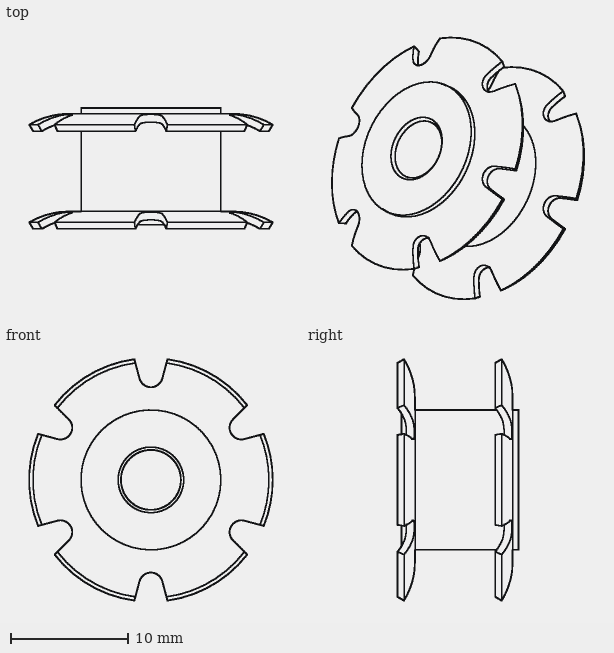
import cadquery as cq
import math

hub_radius = 5.97
hub_length = 10.0
bore_radius = 2.55
bore_chamfer = 0.25

flange_radius = 10.41
flat_radius = 7.0
flange_thickness = 0.66
dish_inner_radius = 6.0
dish_outer_radius = dish_inner_radius + flange_thickness
dish_angle = math.asin((flange_radius - flat_radius) / dish_outer_radius)
hub_overhang = 0.5

slot_count = 6
slot_bottom_distance = 7.92
slot_round_radius = 1.0
slot_wall_angle = math.radians(15.0)
slot_rim_margin = 1.0
slot_reach = flange_radius + slot_rim_margin

hub_front_y = -hub_length / 2
hub_back_y = hub_length / 2
rear_flange_back_y = hub_back_y - hub_overhang
front_flange_back_y = hub_front_y + hub_overhang + flange_thickness


def y_cylinder(radius, y_front, y_back):
    """Solid cylinder on the Y axis between two Y positions."""
    workplane = cq.Workplane("XZ", origin=(0, y_back, 0))
    return workplane.circle(radius).extrude(y_back - y_front)


def dished_disc(back_y):
    """Revolved disc: flat centre, then a constant-thickness arc bending toward -Y."""
    arc_centre_y = back_y - dish_outer_radius

    def arc_point(radius, angle):
        return (flat_radius + radius * math.sin(angle), arc_centre_y + radius * math.cos(angle))

    profile = (
        cq.Workplane("XY")
        .moveTo(0, back_y)
        .lineTo(flat_radius, back_y)
        .threePointArc(
            arc_point(dish_outer_radius, dish_angle / 2),
            arc_point(dish_outer_radius, dish_angle),
        )
        .lineTo(*arc_point(dish_inner_radius, dish_angle))
        .threePointArc(
            arc_point(dish_inner_radius, dish_angle / 2),
            arc_point(dish_inner_radius, 0),
        )
        .lineTo(0, back_y - flange_thickness)
        .close()
    )
    return profile.revolve(360, (0, 0, 0), (0, 1, 0))


def slot_cutter(back_y):
    """Cutter for one slot at +Z, deep enough to pass through one dished flange."""
    round_centre_z = slot_bottom_distance + slot_round_radius
    tangent_x = slot_round_radius * math.cos(slot_wall_angle)
    tangent_z = round_centre_z - slot_round_radius * math.sin(slot_wall_angle)
    mouth_x = tangent_x + (slot_reach - tangent_z) * math.tan(slot_wall_angle)
    cut_depth = dish_outer_radius
    return (
        cq.Workplane("XZ", origin=(0, back_y, 0))
        .moveTo(-mouth_x, slot_reach)
        .lineTo(-tangent_x, tangent_z)
        .threePointArc((0, slot_bottom_distance), (tangent_x, tangent_z))
        .lineTo(mouth_x, slot_reach)
        .close()
        .extrude(cut_depth)
    )


def slotted_flange(back_y):
    flange = dished_disc(back_y)
    cutter = slot_cutter(back_y)
    for index in range(slot_count):
        turn = index * 360.0 / slot_count
        flange = flange.cut(cutter.rotate((0, 0, 0), (0, 1, 0), turn))
    return flange


def bore_cutter():
    """Through bore with a chamfer at each end, revolved about Y."""
    mouth_radius = bore_radius + bore_chamfer
    return (
        cq.Workplane("XY")
        .moveTo(0, hub_front_y)
        .lineTo(mouth_radius, hub_front_y)
        .lineTo(bore_radius, hub_front_y + bore_chamfer)
        .lineTo(bore_radius, hub_back_y - bore_chamfer)
        .lineTo(mouth_radius, hub_back_y)
        .lineTo(0, hub_back_y)
        .close()
        .revolve(360, (0, 0, 0), (0, 1, 0))
    )


body = y_cylinder(hub_radius, hub_front_y, hub_back_y)
for flange_back_y in (front_flange_back_y, rear_flange_back_y):
    body = body.union(slotted_flange(flange_back_y))

result = body.cut(bore_cutter())